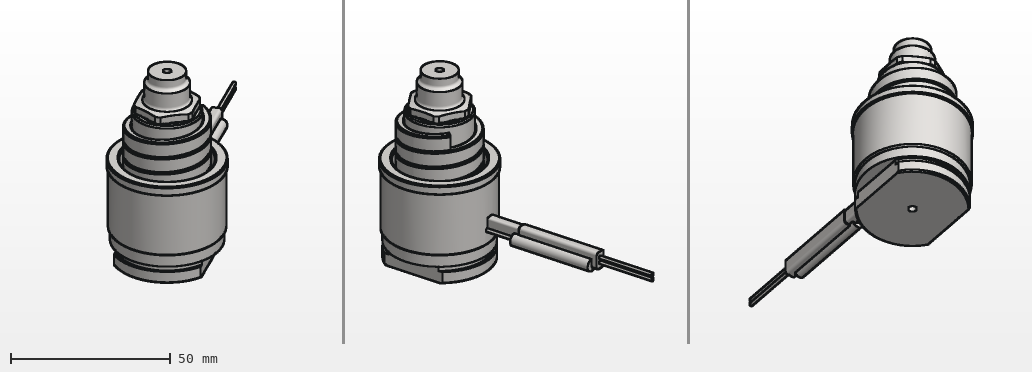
import cadquery as cq
import math

BASE_RADIUS = 18.0
BASE_CHAMFER = 0.5
GROOVE_RADIUS = 17.1
GROOVE_BOTTOM = 4.2
GROOVE_TOP = 6.1
BODY_RADIUS = 18.6
BODY_BOTTOM = 10.1
BODY_EDGE = BODY_RADIUS - BASE_RADIUS
COLLAR_RADIUS = 19.0
COLLAR_BOTTOM = 31.8
COLLAR_TOP = 35.1
COLLAR_CHAMFER = 0.4

FLAT_OFFSET = 14.1

RECESS_RADIUS = 15.0
RECESS_LEDGE_DEPTH = 8.0
RECESS_LOWER_RADIUS = 14.5
RECESS_DEPTH = 10.0
RECESS_CHAMFER = 0.5
RECESS_LEDGE = COLLAR_TOP - RECESS_LEDGE_DEPTH
RECESS_FLOOR = COLLAR_TOP - RECESS_DEPTH

CORE_RADIUS = 11.1
CORE_TOP = 52.3
CORE_CHAMFER = 0.6
COIL_RADIUS = 13.8
COIL_PITCH = 5.4
COIL_TOP = 49.9
COIL_END_ANGLE = 50.0
COIL_EDGE = 0.45
GROOVE_TURNS = 5
CUT_MARGIN = 1.0

NECK_RADIUS = 9.1
NUT_BOTTOM = 52.8
NUT_FLATS = 19.0
NUT_RADIUS = 10.5
NUT_SHOULDER = 55.2
NUT_CONE_RADIUS = 7.8
NUT_CONE_TOP = 55.9

STEM_RADIUS = 7.2
STEM_BOTTOM = 57.0
STEM_TOP = 62.1
STEP_RADIUS = 6.5
STEP_TOP = 62.7
TIP_RADIUS = 6.0
TIP_BOTTOM = 63.6
TIP_TOP = 66.2
BORE_RADIUS = 1.3

CABLE_X = -1.3
CABLE_Z = 17.2
CABLE_ROOT = 17.0
CABLE_WIDTH = 3.3
CABLE_HEIGHT = 5.2
CABLE_ROUND = 0.7
SLEEVE_WIDTH = 3.8
SLEEVE_HEIGHT = 6.0
SLEEVE_ROUND = 1.0
SLEEVE_START = 30.8
SLEEVE_END = 60.9
WIRE_RADIUS = 0.6
WIRE_SPACING = 1.8
WIRE_END = 81.0

LEAD_X = 0.3
LEAD_RADIUS = 0.7
TUBE_X = 0.7
TUBE_Z = 15.5
TUBE_RADIUS = 2.1
TUBE_START = 29.1
TUBE_END = 59.0


def cylinder(radius, bottom, top):
    return cq.Workplane("XY").workplane(offset=bottom).circle(radius).extrude(top - bottom)


def revolve(outline):
    """Turn a closed outline in the XZ plane about the Z axis."""
    return outline.close().revolve(360, (0, 0, 0), (0, 1, 0))


def make_housing():
    housing = revolve(
        cq.Workplane("XZ")
        .moveTo(0, 0)
        .lineTo(BASE_RADIUS - BASE_CHAMFER, 0)
        .lineTo(BASE_RADIUS, BASE_CHAMFER)
        .lineTo(BASE_RADIUS, GROOVE_BOTTOM)
        .lineTo(GROOVE_RADIUS, GROOVE_BOTTOM)
        .lineTo(GROOVE_RADIUS, GROOVE_TOP)
        .lineTo(BASE_RADIUS, GROOVE_TOP)
        .lineTo(BASE_RADIUS, BODY_BOTTOM)
        .lineTo(BODY_RADIUS, BODY_BOTTOM + BODY_EDGE)
        .lineTo(BODY_RADIUS, COLLAR_BOTTOM)
        .lineTo(COLLAR_RADIUS, COLLAR_BOTTOM + COLLAR_CHAMFER)
        .lineTo(COLLAR_RADIUS, COLLAR_TOP - COLLAR_CHAMFER)
        .lineTo(COLLAR_RADIUS - COLLAR_CHAMFER, COLLAR_TOP)
        .lineTo(RECESS_RADIUS + RECESS_CHAMFER, COLLAR_TOP)
        .lineTo(RECESS_RADIUS, COLLAR_TOP - RECESS_CHAMFER)
        .lineTo(RECESS_RADIUS, RECESS_LEDGE)
        .lineTo(RECESS_LOWER_RADIUS, RECESS_LEDGE)
        .lineTo(RECESS_LOWER_RADIUS, RECESS_FLOOR)
        .lineTo(0, RECESS_FLOOR)
    )
    waste_width = BASE_RADIUS - FLAT_OFFSET + CUT_MARGIN
    for side in (-1, 1):
        waste = (
            cq.Workplane("XY")
            .center(side * (FLAT_OFFSET + waste_width / 2), 0)
            .rect(waste_width, 2 * COLLAR_RADIUS)
            .extrude(GROOVE_TOP)
        )
        housing = housing.cut(waste)
    return housing


def sweep_on_helix(section, start_z, turns, start_angle):
    """Sweep a closed list of (radius, height) points up a helix about Z."""
    helix = cq.Wire.makeHelix(COIL_PITCH, COIL_PITCH * turns, COIL_RADIUS)
    swept = cq.Workplane("XZ").polyline(section).close().sweep(cq.Workplane(helix), isFrenet=True)
    return swept.rotate((0, 0, 0), (0, 0, 1), start_angle).translate((0, 0, start_z))


def make_coil():
    coil = cylinder(COIL_RADIUS, RECESS_FLOOR, COIL_TOP)

    outside = COIL_RADIUS + CUT_MARGIN
    inside = CORE_RADIUS - CUT_MARGIN
    above_strip = [
        (inside, -COIL_EDGE - CUT_MARGIN),
        (CORE_RADIUS + COIL_EDGE, 0),
        (outside, 0),
        (outside, COIL_PITCH),
        (inside, COIL_PITCH),
    ]
    for half in range(2):
        start_z = COIL_TOP - COIL_PITCH + half * COIL_PITCH / 2
        coil = coil.cut(sweep_on_helix(above_strip, start_z, 0.5, COIL_END_ANGLE + half * 180))

    overlap = COIL_EDGE / 2
    v_groove = [
        (COIL_RADIUS - COIL_EDGE, 0),
        (COIL_RADIUS + overlap, -COIL_EDGE - overlap),
        (COIL_RADIUS + overlap, COIL_EDGE + overlap),
    ]
    groove_start = COIL_TOP - GROOVE_TURNS * COIL_PITCH
    return coil.cut(sweep_on_helix(v_groove, groove_start, GROOVE_TURNS, COIL_END_ANGLE))


def make_core():
    core = cylinder(CORE_RADIUS, RECESS_FLOOR, CORE_TOP).faces(">Z").edges().chamfer(CORE_CHAMFER)
    return core.union(cylinder(NECK_RADIUS, CORE_TOP, NUT_BOTTOM))


def make_nut():
    corner_diameter = NUT_FLATS / math.cos(math.pi / 6)
    hexagon = (
        cq.Workplane("XY")
        .workplane(offset=NUT_BOTTOM)
        .polygon(6, corner_diameter)
        .extrude(NUT_CONE_TOP - NUT_BOTTOM)
        .rotate((0, 0, 0), (0, 0, 1), 30)
    )
    turned_blank = revolve(
        cq.Workplane("XZ")
        .moveTo(0, NUT_BOTTOM)
        .lineTo(NUT_RADIUS, NUT_BOTTOM)
        .lineTo(NUT_RADIUS, NUT_SHOULDER)
        .lineTo(NUT_CONE_RADIUS, NUT_CONE_TOP)
        .lineTo(0, NUT_CONE_TOP)
    )
    return hexagon.intersect(turned_blank)


def make_tip():
    """Stepped stem with a hollow fillet under the tip and another above the nut."""
    return revolve(
        cq.Workplane("XZ")
        .moveTo(0, TIP_TOP)
        .lineTo(TIP_RADIUS, TIP_TOP)
        .lineTo(TIP_RADIUS, TIP_BOTTOM)
        .tangentArcPoint((STEP_RADIUS, STEP_TOP), relative=False)
        .lineTo(STEM_RADIUS, STEM_TOP)
        .lineTo(STEM_RADIUS, STEM_BOTTOM)
        .tangentArcPoint((NUT_CONE_RADIUS, NUT_CONE_TOP), relative=False)
        .lineTo(NUT_CONE_RADIUS, NUT_BOTTOM)
        .lineTo(0, NUT_BOTTOM)
    )


def rounded_bar(width, height, round_radius, start, end):
    bar = (
        cq.Workplane("XY")
        .box(width, end - start, height)
        .edges("|Y")
        .fillet(round_radius)
    )
    return bar.translate((CABLE_X, (start + end) / 2, CABLE_Z))


def round_bar(radius, x, z, start, end):
    return cq.Workplane("XZ", origin=(x, start, z)).circle(radius).extrude(start - end)


def make_cables():
    cables = rounded_bar(CABLE_WIDTH, CABLE_HEIGHT, CABLE_ROUND, CABLE_ROOT, SLEEVE_START)
    sleeve = rounded_bar(SLEEVE_WIDTH, SLEEVE_HEIGHT, SLEEVE_ROUND, SLEEVE_START, SLEEVE_END)
    cables = cables.union(sleeve)
    for side in (-1, 1):
        wire_z = CABLE_Z + side * WIRE_SPACING / 2
        cables = cables.union(round_bar(WIRE_RADIUS, CABLE_X, wire_z, SLEEVE_END, WIRE_END))
    cables = cables.union(round_bar(TUBE_RADIUS, TUBE_X, TUBE_Z, TUBE_START, TUBE_END))
    return cables.union(round_bar(LEAD_RADIUS, LEAD_X, TUBE_Z, CABLE_ROOT, TUBE_START))


result = (
    make_housing()
    .union(make_core())
    .union(make_coil())
    .union(make_nut())
    .union(make_tip())
    .union(make_cables())
    .cut(cylinder(BORE_RADIUS, 0, TIP_TOP))
)